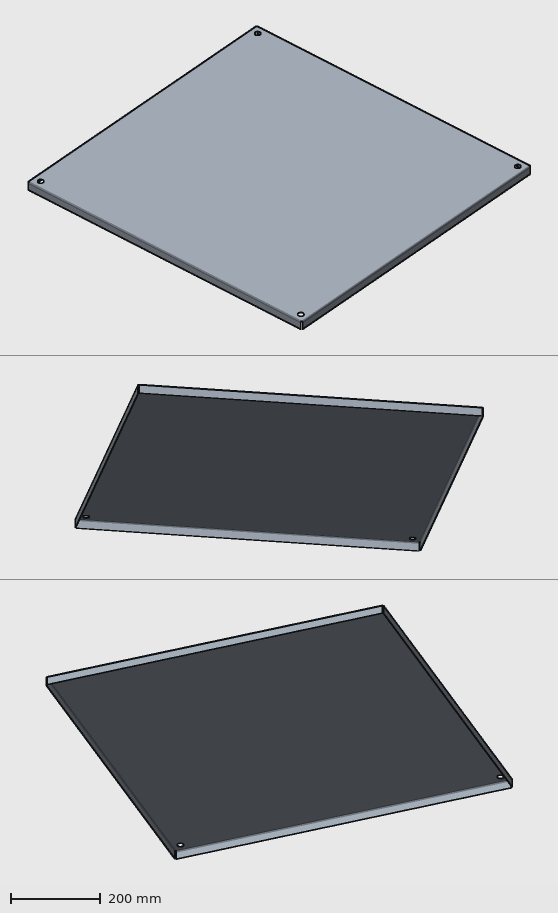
import cadquery as cq

length = 813.0
width = 784.0
height = 22.0

sheet = 2.0
bend_radius = 2.5

corner_relief = 3.65

hole_diameter = 15.0
hole_inset = 22.0


def rounded_bar(plane, span, bar_height, radius, run):
    """Bar along the plane normal, centred, with its two long top edges rounded."""
    bar = cq.Workplane(plane).center(0, bar_height / 2).rect(span, bar_height).extrude(run / 2, both=True)
    return bar.faces(">Z").edges("|Y" if plane == "XZ" else "|X").fillet(radius)


def folded_channel(plane, span, run):
    """Sheet with a flange bent down along both long sides, open underneath."""
    outside = rounded_bar(plane, span, height, bend_radius, run)
    inside = rounded_bar(plane, span - 2 * sheet, height - sheet, bend_radius - sheet, run)
    return outside.cut(inside)


side_flanges = folded_channel("XZ", length, width - 2 * corner_relief)
end_flanges = folded_channel("YZ", width, length - 2 * corner_relief)
panel = side_flanges.union(end_flanges)

holes = (
    cq.Workplane("XY")
    .rect(length - 2 * hole_inset, width - 2 * hole_inset, forConstruction=True)
    .vertices()
    .circle(hole_diameter / 2)
    .extrude(height)
)

result = panel.cut(holes)